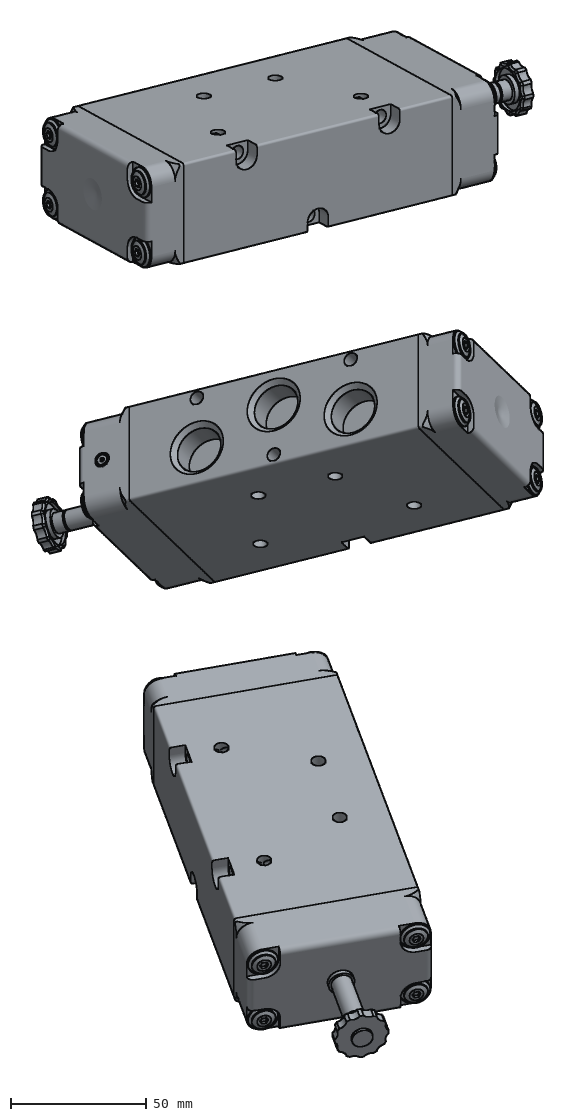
import cadquery as cq
import math

WIDTH = 70.3
HEIGHT = 40.0
HOUSING_LENGTH = 120.0
EDGE_RADIUS = 1.0

HOLE_DIAMETER = 5.3
PORT_PITCH = 31.9
TOP_HOLE_X = 16.5
SIDE_HOLE_Z = 16.0
NOTCH_WIDTH = 9.4
NOTCH_DEPTH = 6.1
PORT_OFFSET_Z = 5.0
PORT_DIAMETER = 18.0
PORT_MOUTH_DIAMETER = 22.0
PORT_MOUTH_DEPTH = 2.0
PORT_DEPTH = 11.5

FRONT_CAP_LENGTH = 16.8
REAR_CAP_LENGTH = 21.4
END_RADIUS = 2.3
BOSS_RADIUS = 6.1
RUNOUT_START = 3.8
POCKET_DEPTH = 2.5
SCREW_X = WIDTH / 2 - BOSS_RADIUS
SCREW_Z = HEIGHT / 2 - BOSS_RADIUS

SCREW_COLLAR_RADIUS = 5.7
SCREW_COLLAR_SIDE = 0.5
SCREW_COLLAR_HEIGHT = 2.0
HEAD_RADIUS = 4.5
HEAD_TOP_RADIUS = 2.7
HEAD_SEAT_HEIGHT = 1.3
HEAD_HEIGHT = 2.3
SOCKET_WIDTH = 2.7
SOCKET_DEPTH = 1.1

DIMPLE_RADIUS = 6.1
DIMPLE_ANGLE = 155

PLUG_Y = 71.2
PLUG_OUTER_RADIUS = 2.9
PLUG_INNER_RADIUS = 2.1
PLUG_HOLE_RADIUS = 0.8
PLUG_DEPTH = 0.5

COLLAR_RADIUS = 5.0
COLLAR_LENGTH = 1.7
SHAFT_RADIUS = 4.0
SHAFT_LENGTH = 32.9
GROOVE_START = 21.5
GROOVE_WIDTH = 0.5
GROOVE_FLOOR_RADIUS = 3.6
KNOB_START = 27.1
KNOB_THICKNESS = 4.5
KNOB_RADIUS = 10.3
KNOB_TEETH = 12
SCALLOP_RADIUS = 3.5
SCALLOP_CENTER_RADIUS = 13.0
KNOB_CHAMFER = 0.8
HUB_RADIUS = 5.5
HUB_PROUD = 0.5
KNOB_RECESS_RADIUS = 8.2
KNOB_RECESS_DEPTH = 1.5


def rod_y(radius, start, length, x=0, z=0):
    """Cylinder along +Y that starts at y = start."""
    return cq.Workplane(cq.Solid.makeCylinder(radius, length, cq.Vector(x, start, z), cq.Vector(0, 1, 0)))


def rod_x(radius, start, length, y, z):
    """Cylinder along +X that starts at x = start."""
    return cq.Workplane(cq.Solid.makeCylinder(radius, length, cq.Vector(start, y, z), cq.Vector(1, 0, 0)))


def block_y(start, length):
    """Block of the full cross section, along +Y from y = start."""
    return cq.Workplane().box(WIDTH, length, HEIGHT).translate((0, start + length / 2, 0))


def side_notch(y, side):
    """Round-bottomed notch at the +X end of a side hole, open to the top (side 1) or the bottom (side -1)."""
    start = WIDTH / 2 - NOTCH_DEPTH
    hole_z = side * SIDE_HOLE_Z
    rise = HEIGHT / 2
    bottom = rod_x(NOTCH_WIDTH / 2, start, 2 * NOTCH_DEPTH, y, hole_z)
    slot = cq.Workplane().box(2 * NOTCH_DEPTH, NOTCH_WIDTH, rise)
    return bottom.union(slot.translate((WIDTH / 2, y, hole_z + side * rise / 2)))


def port(y, z):
    """Blind port on the -X side with a conical mouth."""
    bore = rod_x(PORT_DIAMETER / 2, -WIDTH / 2, PORT_DEPTH, y, z)
    mouth = cq.Solid.makeCone(
        PORT_MOUTH_DIAMETER / 2, PORT_DIAMETER / 2, PORT_MOUTH_DEPTH,
        cq.Vector(-WIDTH / 2, y, z), cq.Vector(1, 0, 0),
    )
    return bore.union(cq.Workplane(mouth))


def make_housing():
    housing = block_y(-HOUSING_LENGTH / 2, HOUSING_LENGTH).edges("|Y").fillet(EDGE_RADIUS)

    top_holes = []
    for sign in (-1, 1):
        top_holes.append((TOP_HOLE_X, sign * PORT_PITCH))
        top_holes.append((-TOP_HOLE_X, sign * PORT_PITCH / 2))
    drills = cq.Workplane().pushPoints(top_holes).circle(HOLE_DIAMETER / 2).extrude(HEIGHT, both=True)
    housing = housing.cut(drills)

    for y, side in ((-PORT_PITCH, 1), (0, -1), (PORT_PITCH, 1)):
        housing = housing.cut(rod_x(HOLE_DIAMETER / 2, -WIDTH / 2, WIDTH, y, side * SIDE_HOLE_Z))
        housing = housing.cut(side_notch(y, side))
        housing = housing.cut(port(y, -side * PORT_OFFSET_Z))
    return housing


def screw_head(base):
    """Conical head with a hexagon socket, sunk in a chamfered collar, on the Y axis from y = base."""
    top = base + HEAD_HEIGHT
    collar_top = base + SCREW_COLLAR_HEIGHT
    head = (
        cq.Workplane()
        .moveTo(0, base)
        .lineTo(SCREW_COLLAR_RADIUS, base)
        .lineTo(SCREW_COLLAR_RADIUS, base + SCREW_COLLAR_SIDE)
        .lineTo(HEAD_RADIUS, collar_top)
        .lineTo(HEAD_RADIUS, base + HEAD_SEAT_HEIGHT)
        .lineTo(HEAD_TOP_RADIUS, top)
        .lineTo(0, top)
        .close()
        .revolve(360, (0, 0), (0, 1))
    )
    socket_diameter = SOCKET_WIDTH / math.cos(math.pi / 6)
    socket = cq.Workplane("XZ", origin=(0, top, 0)).polygon(6, socket_diameter).extrude(SOCKET_DEPTH)
    return head.cut(socket)


def corner_relief(length):
    """What is cut off at the +X +Z corner so that a round boss is left, with a 45 degree runout."""
    runout_length = BOSS_RADIUS
    square = cq.Workplane().box(BOSS_RADIUS, length, BOSS_RADIUS, centered=False)
    boss = rod_y(BOSS_RADIUS, RUNOUT_START, length)
    runout = cq.Solid.makeCone(
        BOSS_RADIUS + runout_length, BOSS_RADIUS, runout_length,
        cq.Vector(0, RUNOUT_START - runout_length, 0), cq.Vector(0, 1, 0),
    )
    return square.cut(boss).cut(cq.Workplane(runout))


def corner_pocket(length):
    """Screw pocket of the +X +Z corner, open to both sides and round at its inner corner."""
    size = 3 * BOSS_RADIUS
    pocket = cq.Workplane().box(size, POCKET_DEPTH, size, centered=False).edges("|Y and <X and <Z")
    return pocket.fillet(BOSS_RADIUS).translate((-BOSS_RADIUS, length - POCKET_DEPTH, -BOSS_RADIUS))


def make_cap(length):
    """Cap from y = 0 to y = length, with a screw in each corner of its far end."""
    cap = block_y(0, length).faces(">Y").edges().fillet(END_RADIUS)
    cap = cap.intersect(block_y(0, length).edges("|Y").fillet(EDGE_RADIUS))

    removed = corner_relief(length).union(corner_pocket(length)).translate((SCREW_X, 0, SCREW_Z))
    removed = removed.union(removed.mirror("YZ"))
    cap = cap.cut(removed).cut(removed.mirror("XY"))

    head = screw_head(length - POCKET_DEPTH)
    for x in (-SCREW_X, SCREW_X):
        for z in (-SCREW_Z, SCREW_Z):
            cap = cap.union(head.translate((x, 0, z)))
    return cap


def make_front_cap():
    depth = DIMPLE_RADIUS / math.tan(math.radians(DIMPLE_ANGLE / 2))
    dimple = cq.Solid.makeCone(
        0, DIMPLE_RADIUS, depth, cq.Vector(0, FRONT_CAP_LENGTH - depth, 0), cq.Vector(0, 1, 0)
    )
    cap = make_cap(FRONT_CAP_LENGTH).cut(cq.Workplane(dimple))
    return cap.mirror("XZ").translate((0, -HOUSING_LENGTH / 2, 0))


def make_knob(end):
    """Scalloped knob on the shaft, recessed around its hub on the side of the cap."""
    start = end + KNOB_START
    knob = rod_y(KNOB_RADIUS, start, KNOB_THICKNESS)
    for index in range(KNOB_TEETH):
        angle = 2 * math.pi * (index + 0.5) / KNOB_TEETH
        x = SCALLOP_CENTER_RADIUS * math.cos(angle)
        z = SCALLOP_CENTER_RADIUS * math.sin(angle)
        knob = knob.cut(rod_y(SCALLOP_RADIUS, start, KNOB_THICKNESS, x, z))
    knob = knob.faces("<Y").edges().chamfer(KNOB_CHAMFER)
    knob = knob.cut(rod_y(KNOB_RECESS_RADIUS, start, KNOB_RECESS_DEPTH))
    return knob.union(rod_y(HUB_RADIUS, start - HUB_PROUD, KNOB_THICKNESS))


def make_rear_cap():
    start = HOUSING_LENGTH / 2
    end = start + REAR_CAP_LENGTH
    cap = make_cap(REAR_CAP_LENGTH).translate((0, start, 0))

    ring = rod_x(PLUG_OUTER_RADIUS, -WIDTH / 2, PLUG_DEPTH, PLUG_Y, 0)
    ring = ring.cut(rod_x(PLUG_INNER_RADIUS, -WIDTH / 2, PLUG_DEPTH, PLUG_Y, 0))
    cap = cap.cut(ring).cut(rod_x(PLUG_HOLE_RADIUS, -WIDTH / 2, PLUG_DEPTH, PLUG_Y, 0))

    groove = rod_y(SHAFT_RADIUS, end + GROOVE_START, GROOVE_WIDTH)
    groove = groove.cut(rod_y(GROOVE_FLOOR_RADIUS, end + GROOVE_START, GROOVE_WIDTH))
    cap = cap.union(rod_y(COLLAR_RADIUS, end, COLLAR_LENGTH))
    cap = cap.union(rod_y(SHAFT_RADIUS, end, SHAFT_LENGTH).cut(groove))
    return cap.union(make_knob(end))


housing = make_housing().solids().val()
front_cap = make_front_cap().solids().val()
rear_cap = make_rear_cap().solids().val()

result = cq.Compound.makeCompound([housing, front_cap, rear_cap])